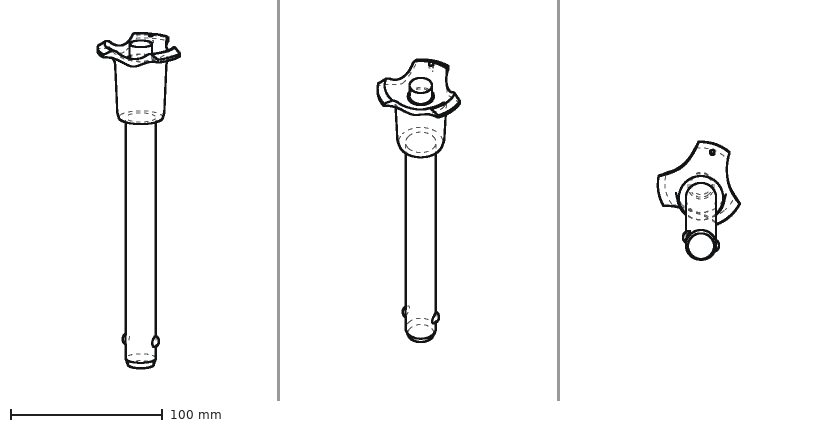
import math

import cadquery as cq

TOTAL_LENGTH = 221.2

SHANK_RADIUS = 10.0
TIP_RADIUS = 8.6
TIP_LENGTH = 4.3

BALL_RADIUS = 4.1
BALL_REACH = 12.4
BALL_Z = -204.4

BODY_BOTTOM_Z = -50.8
BODY_BOTTOM_RADIUS = 15.6
BODY_TOP_RADIUS = 16.95
BODY_EDGE_HEIGHT = 3.8
BODY_EDGE_INSET = 1.0
FLARE_RADIUS = 10.0
RIM_RADIUS = 28.55
RIM_TOP_Z = -2.8
RIM_BOTTOM_Z = -4.8
CROWN_RADIUS = 23.8

DISH_ARC_RADIUS = 23.0
DISH_FLOOR_RADIUS = 8.6
LIP_RADIUS = 2.6
LIP_ANGLE = math.radians(53.5)

BUTTON_RADIUS = 7.4

NOTCH_DEPTH_RADIUS = 18.0
FRONT_NOTCH_RADIUS = 52.0
SIDE_NOTCH_RADIUS = 35.2
FRONT_NOTCH_ANGLE = -90
SIDE_NOTCH_ANGLES = (30, 150)

LANYARD_HOLE_DIAMETER = 3.0
LANYARD_HOLE_Y = 23.0


def arc_point(center, radius, angle):
    """Point on a circle in the profile plane, with the angle measured from straight down."""
    return (center[0] + radius * math.sin(angle), center[1] - radius * math.cos(angle))


def make_handle():
    half_right_angle = math.radians(45)
    flare_bottom_z = RIM_BOTTOM_Z - FLARE_RADIUS
    flare_center = (BODY_TOP_RADIUS + FLARE_RADIUS, flare_bottom_z)
    flare_mid = arc_point(flare_center, FLARE_RADIUS, -3 * half_right_angle)

    lip_center = (CROWN_RADIUS, -LIP_RADIUS)
    lip_mid = arc_point(lip_center, LIP_RADIUS, math.pi + LIP_ANGLE / 2)
    lip_end = arc_point(lip_center, LIP_RADIUS, math.pi + LIP_ANGLE)
    dish_center = arc_point(lip_center, LIP_RADIUS + DISH_ARC_RADIUS, math.pi + LIP_ANGLE)
    floor_angle = math.asin((DISH_FLOOR_RADIUS - dish_center[0]) / DISH_ARC_RADIUS)
    dish_mid = arc_point(dish_center, DISH_ARC_RADIUS, (LIP_ANGLE + floor_angle) / 2)
    dish_end = arc_point(dish_center, DISH_ARC_RADIUS, floor_angle)

    profile = (
        cq.Workplane("XZ")
        .moveTo(0, BODY_BOTTOM_Z)
        .lineTo(BODY_BOTTOM_RADIUS - BODY_EDGE_INSET, BODY_BOTTOM_Z)
        .lineTo(BODY_BOTTOM_RADIUS, BODY_BOTTOM_Z + BODY_EDGE_HEIGHT)
        .lineTo(BODY_TOP_RADIUS, flare_bottom_z)
        .threePointArc(flare_mid, (flare_center[0], RIM_BOTTOM_Z))
        .lineTo(RIM_RADIUS, RIM_BOTTOM_Z)
        .lineTo(RIM_RADIUS, RIM_TOP_Z)
        .lineTo(CROWN_RADIUS, 0)
        .threePointArc(lip_mid, lip_end)
        .threePointArc(dish_mid, dish_end)
        .lineTo(0, dish_end[1])
        .close()
    )
    return profile.revolve(360, (0, 0, 0), (0, 1, 0))


def make_notch(angle, radius):
    """Vertical cylinder that scoops the handle edge in the given direction."""
    distance = NOTCH_DEPTH_RADIUS + radius
    x = distance * math.cos(math.radians(angle))
    y = distance * math.sin(math.radians(angle))
    return cq.Workplane("XY").center(x, y).circle(radius).extrude(BODY_BOTTOM_Z)


def make_lanyard_hole():
    return (
        cq.Workplane("XY")
        .center(0, LANYARD_HOLE_Y)
        .circle(LANYARD_HOLE_DIAMETER / 2)
        .extrude(BODY_BOTTOM_Z)
    )


def make_button():
    return cq.Workplane("XY").circle(BUTTON_RADIUS).extrude(BODY_BOTTOM_Z)


def make_shank():
    shank = cq.Workplane("XY").workplane(offset=-TOTAL_LENGTH)
    shank = shank.circle(SHANK_RADIUS).extrude(TOTAL_LENGTH + BODY_BOTTOM_Z)
    return shank.faces("<Z").edges().chamfer(TIP_LENGTH, SHANK_RADIUS - TIP_RADIUS)


def make_ball(side):
    x = side * (BALL_REACH - BALL_RADIUS)
    return cq.Workplane("XY").sphere(BALL_RADIUS).translate((x, 0, BALL_Z))


handle = make_handle().cut(make_notch(FRONT_NOTCH_ANGLE, FRONT_NOTCH_RADIUS))
for notch_angle in SIDE_NOTCH_ANGLES:
    handle = handle.cut(make_notch(notch_angle, SIDE_NOTCH_RADIUS))
handle = handle.cut(make_lanyard_hole())

result = handle.union(make_button()).union(make_shank())
for ball_side in (-1, 1):
    result = result.union(make_ball(ball_side))